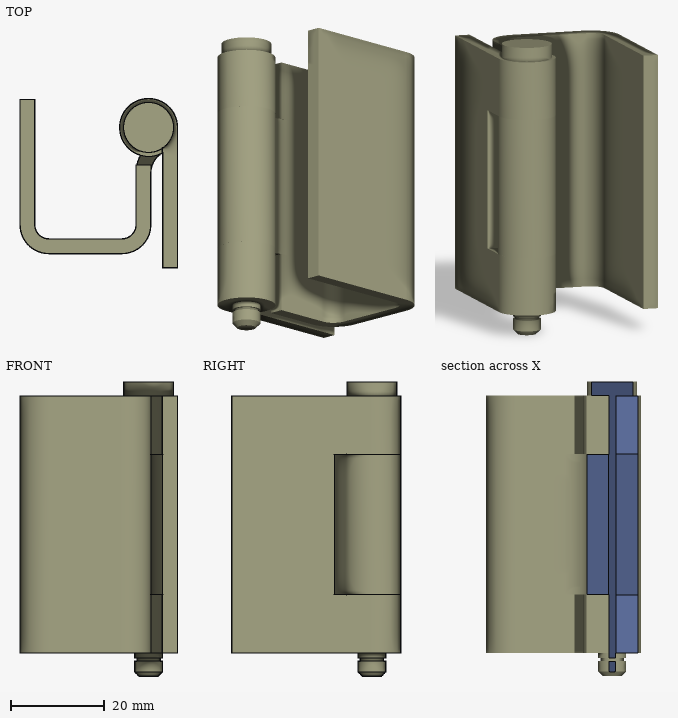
import cadquery as cq
import math

sheet = 3.2
pin_radius = 3.0
barrel_radius = pin_radius + sheet
hinge_height = 55.0

middle_knuckle = 30.0
end_knuckle = (hinge_height - middle_knuckle) / 2
middle_bottom = end_knuckle
middle_top = middle_bottom + middle_knuckle

notch_y = -8.0

flat_leaf_end_y = -30.0
curl_gap = 0.1

channel_width = 28.0
channel_right_x = 0.5
channel_left_x = channel_right_x - channel_width
channel_bottom_y = -27.0
channel_free_end_y = 6.0
bend_inner_radius = 3.0
bend_outer_radius = bend_inner_radius + sheet

neck_inner_radius = 5.0
neck_outer_radius = neck_inner_radius + sheet
neck_center_x = channel_right_x + neck_inner_radius
neck_center_distance = barrel_radius + neck_inner_radius
neck_center_y = -math.sqrt(neck_center_distance**2 - neck_center_x**2)
neck_turn = math.acos(neck_center_x / neck_center_distance)

head_radius = 5.35
head_height = 3.0
tail_length = 5.0
tail_chamfer = 1.0
groove_radius = 2.5
groove_top = -1.1
groove_width = 0.6


def knuckle(bottom, height):
    """Sleeve that fits around the pin."""
    return (
        cq.Workplane("XY", origin=(0, 0, bottom))
        .circle(barrel_radius)
        .circle(pin_radius)
        .extrude(height)
    )


def box_between(x_range, y_range, z_range):
    """Block given by its lower and upper limits along each axis."""
    (x0, x1), (y0, y1), (z0, z1) = x_range, y_range, z_range
    return cq.Workplane("XY").box(x1 - x0, y1 - y0, z1 - z0, centered=False).translate((x0, y0, z0))


def make_flat_leaf():
    """Straight plate whose inner face is tangent to the pin, with two rolled knuckles."""
    plate_x = (pin_radius, barrel_radius)
    full_z = (0, hinge_height)
    leaf = box_between(plate_x, (flat_leaf_end_y, 0), full_z)
    for bottom in (0, middle_top):
        leaf = leaf.union(knuckle(bottom, end_knuckle))

    leaf = leaf.cut(box_between((pin_radius - curl_gap, pin_radius), (-barrel_radius, 0), full_z))

    notch = box_between(plate_x, (notch_y, barrel_radius), (middle_bottom, middle_top))
    return leaf.cut(notch)


def make_channel():
    """U-shaped channel whose right leg ends short of the pin."""
    full_z = (0, hinge_height)
    right_inner_x = channel_right_x - sheet
    y_range = (channel_bottom_y, channel_free_end_y)
    outer = box_between((channel_left_x, channel_right_x), y_range, full_z)
    outer = outer.edges("|Z and <Y").fillet(bend_outer_radius)
    inner = box_between(
        (channel_left_x + sheet, right_inner_x),
        (channel_bottom_y + sheet, channel_free_end_y),
        full_z,
    )
    inner = inner.edges("|Z and <Y").fillet(bend_inner_radius)
    above_leg = box_between((right_inner_x, channel_right_x), (notch_y, channel_free_end_y), full_z)
    return outer.cut(inner).cut(above_leg)


def make_neck():
    """Strip bent in one arc, tangent to the leg and to the outside of the knuckle."""

    def bend_point(radius, angle):
        return (neck_center_x - radius * math.cos(angle), neck_center_y + radius * math.sin(angle))

    return (
        cq.Workplane("XY", origin=(0, 0, middle_bottom))
        .moveTo(*bend_point(neck_outer_radius, 0))
        .threePointArc(bend_point(neck_outer_radius, neck_turn / 2), bend_point(neck_outer_radius, neck_turn))
        .lineTo(*bend_point(neck_inner_radius, neck_turn))
        .threePointArc(bend_point(neck_inner_radius, neck_turn / 2), bend_point(neck_inner_radius, 0))
        .close()
        .extrude(middle_knuckle)
    )


def make_channel_leaf():
    """Channel whose right leg gives way to the neck and knuckle over the middle of its height."""
    straight_end = box_between(
        (channel_right_x - sheet, channel_right_x),
        (neck_center_y, notch_y),
        (middle_bottom, middle_top),
    )
    leaf = make_channel().cut(straight_end)
    return leaf.union(make_neck()).union(knuckle(middle_bottom, middle_knuckle))


def make_pin():
    """Headed pin with a retaining-ring groove and a chamfered tail, turned about Z."""
    groove_bottom = groove_top - groove_width
    profile = [
        (0, -tail_length),
        (pin_radius - tail_chamfer, -tail_length),
        (pin_radius, -tail_length + tail_chamfer),
        (pin_radius, groove_bottom),
        (groove_radius, groove_bottom),
        (groove_radius, groove_top),
        (pin_radius, groove_top),
        (pin_radius, hinge_height),
        (head_radius, hinge_height),
        (head_radius, hinge_height + head_height),
        (0, hinge_height + head_height),
    ]
    return cq.Workplane("XZ").polyline(profile).close().revolve(360, (0, 0, 0), (0, 1, 0))


flat_leaf = make_flat_leaf()
channel_leaf = make_channel_leaf()
pin = make_pin()

result = cq.Compound.makeCompound([flat_leaf.val(), channel_leaf.val(), pin.val()])